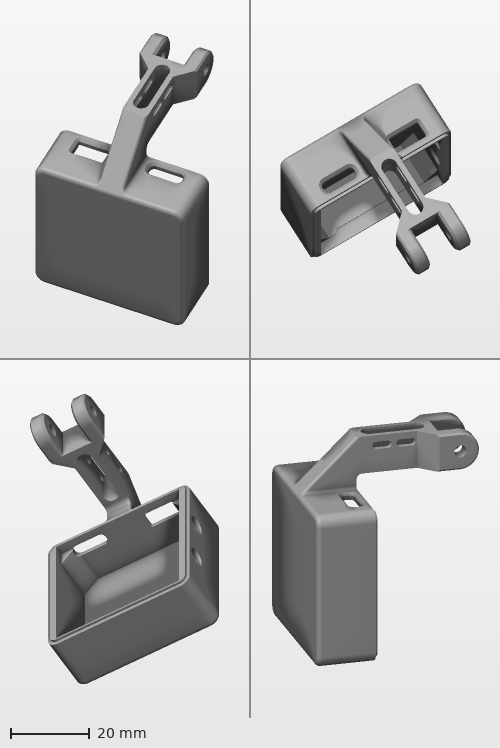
import cadquery as cq
import math

BOX_WIDTH = 41.8
BOX_HEIGHT = 41.0
BOX_DEPTH = 15.5
CORNER_RADIUS = 2.9
FRONT_ROUND = 1.3
WALL = 1.9
SIDE_WALL = 2.8
LIP_DEPTH = 0.7
LIP_INSET = 1.0

CORNER_WEB = 4.0
SEAT_Y = 13.5
SEAT_STEP = 0.4
NOTCH_DEPTH = 1.05
NOTCH_HALF_WIDTH = 11.1

PORT_BEVEL = 0.75
ROUND_PORT = {"x": 10.3, "y": 12.25, "width": 10.9, "depth": 4.9, "radius": 2.1}
SQUARE_PORT = {"x": -10.4, "y": 11.5, "width": 10.2, "depth": 6.0, "radius": 1.2}

SIDE_HOLE_DIAMETER = 5.2
SIDE_HOLE_Y = 12.1
SIDE_HOLE_SPACING = 13.0

TOTAL_HEIGHT = 55.0
TOTAL_LENGTH = 46.6
ARM_WIDTH = 6.9
ARM_THICKNESS = 10.0
INNER_CORNER_RADIUS = 1.5
SLOPE_EDGE_RADIUS = 0.8
FOOT_RADIUS = 0.85
ARM_BOTTOM = TOTAL_HEIGHT - ARM_THICKNESS

FORK_WIDTH = 16.0
FORK_GAP = 8.0
FORK_GAP_Y = 36.5
FORK_SHOULDER_Y = 36.0
FORK_OUTER_CHAMFER = 0.5
FORK_INNER_CHAMFER = 0.7
PIVOT_DIAMETER = 3.2
PIVOT_Y = TOTAL_LENGTH - ARM_THICKNESS / 2
PIVOT_Z = TOTAL_HEIGHT - ARM_THICKNESS / 2

TOP_SLOT_WIDTH = 4.1
TOP_SLOT_LENGTH = 16.7
TOP_SLOT_Y = 26.0
SIDE_SLOT_LENGTH = 5.1
SIDE_SLOT_WIDTH = 2.0
SIDE_SLOT_DROP = 2.8
SIDE_SLOT_Z = TOTAL_HEIGHT - SIDE_SLOT_DROP
SIDE_SLOT_YS = (22.2, 28.55)


def upright_block(inset, y_start, y_end):
    """Block between two Y planes, inset evenly from the housing outline."""
    return cq.Workplane("XY").box(
        BOX_WIDTH - 2 * inset, y_end - y_start, BOX_HEIGHT - 2 * inset, centered=(True, False, False)
    ).translate((0, y_start, inset))


def make_shell():
    body = upright_block(0, 0, BOX_DEPTH).edges("|Y").fillet(CORNER_RADIUS)
    body = body.faces("<Y").edges().fillet(FRONT_ROUND)
    lip = upright_block(LIP_INSET, BOX_DEPTH, BOX_DEPTH + LIP_DEPTH)
    return body.union(lip.edges("|Y").fillet(CORNER_RADIUS - LIP_INSET))


def cavity_block(y_start, floor):
    """Block from a floor level up to the top wall, open through the rear of the housing."""
    return cq.Workplane("XY").box(
        BOX_WIDTH - 2 * SIDE_WALL,
        BOX_DEPTH + LIP_DEPTH - y_start,
        BOX_HEIGHT - WALL - floor,
        centered=(True, False, False),
    ).translate((0, y_start, floor))


def make_cavity():
    seat_floor = WALL - SEAT_STEP
    main = cavity_block(WALL, WALL).edges("|Y").chamfer(CORNER_WEB)
    seat = cavity_block(SEAT_Y, seat_floor)
    notch_outer = NOTCH_HALF_WIDTH + NOTCH_DEPTH
    notch = (
        cq.Workplane("XY", origin=(0, 0, seat_floor))
        .moveTo(-notch_outer, SEAT_Y)
        .lineTo(-NOTCH_HALF_WIDTH, SEAT_Y - NOTCH_DEPTH)
        .lineTo(NOTCH_HALF_WIDTH, SEAT_Y - NOTCH_DEPTH)
        .lineTo(notch_outer, SEAT_Y)
        .close()
        .extrude(WALL)
    )
    return main.union(seat).union(notch)


def make_port(x, y, width, depth, radius):
    """Port cutter: a 45 degree bevel at the top surface, then straight down through the wall."""
    def outline(shrink):
        sketch = cq.Sketch().rect(width - 2 * shrink, depth - 2 * shrink)
        return sketch.vertices().fillet(radius - shrink)

    top = cq.Workplane("XY", origin=(x, y, BOX_HEIGHT))
    bevel = top.placeSketch(outline(0)).extrude(-PORT_BEVEL, taper=45)
    straight = top.placeSketch(outline(PORT_BEVEL)).extrude(-2 * WALL)
    return bevel.union(straight)


def make_side_holes():
    offset = SIDE_HOLE_SPACING / 2
    return (
        cq.Workplane("YZ", origin=(-BOX_WIDTH / 2, SIDE_HOLE_Y, BOX_HEIGHT / 2))
        .pushPoints([(0, -offset), (0, offset)])
        .circle(SIDE_HOLE_DIAMETER / 2)
        .extrude(2 * SIDE_WALL)
    )


def slope_tangent_point():
    """Point (y, z) where the sloping front of the arm runs tangent into the rounded front edge."""
    centre_y = FRONT_ROUND
    centre_z = BOX_HEIGHT - FRONT_ROUND
    reach_y = BOX_DEPTH - centre_y
    reach_z = TOTAL_HEIGHT - centre_z
    distance = math.hypot(reach_y, reach_z)
    angle = math.atan2(reach_z, reach_y) - math.asin(FRONT_ROUND / distance)
    return centre_y - FRONT_ROUND * math.sin(angle), centre_z + FRONT_ROUND * math.cos(angle)


def make_stem():
    """Sloping post with a flared foot and the level arm behind it, up to the fork."""
    half = ARM_WIDTH / 2
    half_foot = half + FOOT_RADIUS
    root_z = BOX_HEIGHT - WALL
    foot_top = BOX_HEIGHT + FOOT_RADIUS
    slope_y, slope_z = slope_tangent_point()
    side = (
        cq.Workplane("YZ")
        .moveTo(slope_y, slope_z)
        .lineTo(BOX_DEPTH, TOTAL_HEIGHT)
        .lineTo(FORK_GAP_Y, TOTAL_HEIGHT)
        .lineTo(FORK_GAP_Y, ARM_BOTTOM)
        .lineTo(BOX_DEPTH, ARM_BOTTOM)
        .lineTo(BOX_DEPTH, root_z)
        .lineTo(WALL, root_z)
        .close()
        .extrude(half_foot, both=True)
    )
    inner_corner = cq.selectors.NearestToPointSelector((0, BOX_DEPTH, ARM_BOTTOM))
    side = side.edges(inner_corner).fillet(INNER_CORNER_RADIUS)
    cross_section = (
        cq.Workplane("XZ")
        .moveTo(-half_foot, root_z)
        .lineTo(-half_foot, BOX_HEIGHT)
        .radiusArc((-half, foot_top), -FOOT_RADIUS)
        .lineTo(-half, TOTAL_HEIGHT)
        .lineTo(half, TOTAL_HEIGHT)
        .lineTo(half, foot_top)
        .radiusArc((half_foot, BOX_HEIGHT), -FOOT_RADIUS)
        .lineTo(half_foot, root_z)
        .close()
        .extrude(-FORK_GAP_Y)
    )
    stem = side.intersect(cross_section)
    slope_middle = ((slope_y + BOX_DEPTH) / 2, (slope_z + TOTAL_HEIGHT) / 2)
    for sign in (-1, 1):
        slope_edge = cq.selectors.NearestToPointSelector((sign * half, *slope_middle))
        stem = stem.edges(slope_edge).fillet(SLOPE_EDGE_RADIUS)
    return stem


def make_fork():
    """Fork with 45 degree shoulders, rounded tine ends and chamfered tine faces."""
    half_arm = ARM_WIDTH / 2
    half_fork = FORK_WIDTH / 2
    root_y = FORK_SHOULDER_Y - (half_fork - half_arm)
    side = (
        cq.Workplane("YZ")
        .moveTo(BOX_DEPTH, TOTAL_HEIGHT)
        .lineTo(PIVOT_Y, TOTAL_HEIGHT)
        .threePointArc((TOTAL_LENGTH, PIVOT_Z), (PIVOT_Y, ARM_BOTTOM))
        .lineTo(BOX_DEPTH, ARM_BOTTOM)
        .close()
        .extrude(half_fork, both=True)
        .faces("<X or >X").edges().chamfer(FORK_OUTER_CHAMFER)
    )
    plan = (
        cq.Workplane("XY", origin=(0, 0, ARM_BOTTOM))
        .moveTo(-half_arm, root_y)
        .lineTo(-half_fork, FORK_SHOULDER_Y)
        .lineTo(-half_fork, TOTAL_LENGTH)
        .lineTo(half_fork, TOTAL_LENGTH)
        .lineTo(half_fork, FORK_SHOULDER_Y)
        .lineTo(half_arm, root_y)
        .close()
        .extrude(ARM_THICKNESS)
    )
    gap = cq.Workplane("XY").box(FORK_GAP, TOTAL_LENGTH, ARM_THICKNESS, centered=(True, False, False))
    fork = side.intersect(plan).cut(gap.translate((0, FORK_GAP_Y, ARM_BOTTOM)))
    for sign in (-1, 1):
        tine_face = cq.selectors.NearestToPointSelector((sign * FORK_GAP / 2, PIVOT_Y, PIVOT_Z))
        rim = fork.faces(tine_face).edges("not(|Z)")
        fork = rim.chamfer(FORK_INNER_CHAMFER)
    return fork


def make_arm_cuts():
    top_slot = (
        cq.Workplane("XY", origin=(0, TOP_SLOT_Y, ARM_BOTTOM))
        .slot2D(TOP_SLOT_LENGTH, TOP_SLOT_WIDTH, 90)
        .extrude(ARM_THICKNESS)
    )
    side_slots = (
        cq.Workplane("YZ")
        .pushPoints([(y, SIDE_SLOT_Z) for y in SIDE_SLOT_YS])
        .slot2D(SIDE_SLOT_LENGTH, SIDE_SLOT_WIDTH)
        .extrude(ARM_WIDTH, both=True)
    )
    pivot = (
        cq.Workplane("YZ", origin=(0, PIVOT_Y, PIVOT_Z))
        .circle(PIVOT_DIAMETER / 2)
        .extrude(FORK_WIDTH, both=True)
    )
    return top_slot.union(side_slots).union(pivot)


solid = make_shell().union(make_stem()).union(make_fork())
solid = solid.cut(make_arm_cuts()).cut(make_cavity())
result = solid.cut(make_port(**ROUND_PORT)).cut(make_port(**SQUARE_PORT)).cut(make_side_holes())